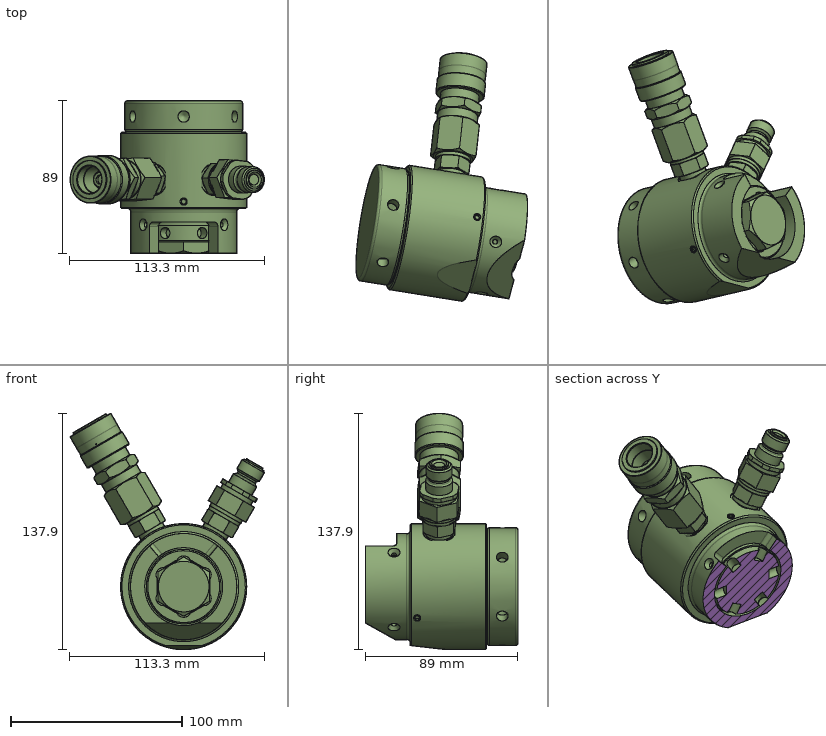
import cadquery as cq
import math

FRONT_Y = -43.0
BACK_Y = 46.0

CUT_MARGIN = 1.4

HEX_SIDES = 6
HEX_CHAMFER_ANGLE = 30.0

BODY_RADIUS = 36.8
BODY_FRONT_Y = -17.0
BODY_BACK_Y = 27.7
BODY_CHAMFER = 0.8
FLAT_SLOPE = 6.5
FLAT_START_Y = 4.3

CAP_RADIUS = 34.5
CAP_FRONT_Y = 28.1
CAP_BACK_FILLET = 1.7
CAP_FRONT_CHAMFER = 1.1
GROOVE_RADIUS = 33.6
CAP_HOLE_RADIUS = 3.3
CAP_HOLE_DEPTH = 6.9
CAP_HOLE_Y = 36.8
CAP_HOLE_COUNT = 6
DRILL_POINT_ANGLE = 118.0

NOSE_RADIUS = 31.0
NECK_RADIUS = 32.1
NECK_LENGTH = 2.0
NOSE_BORE_RADIUS = 22.7
NOSE_BORE_FLOOR_Y = -26.9
SLOT_FLOOR_Y = -24.8
SLOT_HALF_ANGLE = 40.0
SLOT_FILLET = 2.5
BEVEL_FRONT_Z = -21.2
BEVEL_BACK_Y = -25.5
NOSE_HOLE_Y = -26.3
NOSE_HOLE_ANGLES = (-140, -50, 50, 140)
NOSE_HOLE_RADIUS = 3.5
NOSE_HOLE_CONE_DEPTH = 2.2
NOSE_PILOT_RADIUS = 1.4
NOSE_PILOT_DEPTH = 4.1

RING_RADIUS = 21.8
RING_FRONT_Y = -36.4
RING_CHAMFER = 0.8
RING_HOLE_RADIUS = 3.2
RING_HOLE_DEPTH = 6.9
RING_HOLE_Y = -31.1
RING_HOLE_COUNT = 6
POCKET_FLATS = 30.9
POCKET_RADIUS = 17.9
POCKET_DEPTH = 1.4
LOBE_RADIUS = 4.3
LOBE_CENTRE_RADIUS = 13.6
NUT_FLATS = 29.9
NUT_FACE_RADIUS = 14.7

SCREW_Y = -12.8
SCREW_RADIUS = 2.0
SCREW_RECESS = 0.4
SCREW_SOCKET_FLATS = 2.6
SCREW_SOCKET_DEPTH = 1.7
SCREW_COUNT = 3

COUPLER_TILT = -30.0
NIPPLE_TILT = 30.0
SPOT_FACE_RADIUS = 9.4
SPOT_FACE_HEIGHT = 35.8
FITTING_ROOT = 27.5
STEM_RADIUS = 8.0
COLLAR_RADIUS = 10.2
STUD_HEX_FLATS = 18.0
STUD_HEX_FACE_RADIUS = 9.6
STUD_HEX_BOTTOM = 38.6
STUD_HEX_TOP = 46.5

COUPLER_STUD_TURN = -19.0
COUPLER_HEX_TURN = -25.0
COUPLER_HEX_FLATS = 24.0
COUPLER_HEX_FACE_RADIUS = 11.6
COUPLER_HEX_BOTTOM = 48.4
COUPLER_HEX_TOP = 70.3
LOWER_NECK_RADIUS = 11.9
COUPLER_NUT_BOTTOM = 75.4
COUPLER_NUT_TOP = 82.3
UPPER_NECK_RADIUS = 11.3
GRIP_BOTTOM = 87.6
GRIP_TOP = 96.5
GRIP_RADIUS = 14.2
GRIP_CHAMFER = 0.5
SLEEVE_FOOT_RADIUS = 13.6
SLEEVE_TAPER_TOP = 101.2
SLEEVE_RADIUS = 13.8
SLEEVE_CHAMFER = 0.3
SLEEVE_TOP = 108.9
COUPLER_TOP = 110.0
LIP_RADIUS = 11.2
MOUTH_RADIUS = 8.5
MOUTH_CHAMFER = 0.4
BORE_RADIUS = 8.1
BORE_DEPTH = 7.3
INNER_BORE_RADIUS = 7.9
INNER_BORE_DEPTH = 20.7
VALVE_RADIUS = 4.8
VALVE_FACE_RADIUS = 4.3
VALVE_FACE_DEPTH = 12.4
VALVE_HOLE_RADIUS = 2.6
VALVE_HOLE_DEPTH = 2.0

NIPPLE_TURN = -36.0
NIPPLE_HEX_FLATS = 22.0
NIPPLE_HEX_BOTTOM = 50.6
NIPPLE_HEX_TOP = 60.6
FLANGE_RADIUS = 11.7
FLANGE_FLATS = 22.2
FLANGE_BOTTOM = 63.4
FLANGE_TOP = 65.9
WASHER_BOTTOM = 48.5
WASHER_RADIUS = 10.5
PLUG_RADIUS = 7.9
PLUG_TOP = 71.5
SHOULDER_RADIUS = 6.8
SHOULDER_TOP = 72.4
LATCH_GROOVE_RADIUS = 6.2
LATCH_GROOVE_BOTTOM = 73.0
LATCH_GROOVE_TOP = 74.1
HEAD_RADIUS = 7.6
HEAD_BOTTOM = 75.2
HEAD_TOP = 82.0
HEAD_CHAMFER = 1.0
TIP_RADIUS = 5.5
NIPPLE_TOP = 83.0
NIPPLE_HOLE_RADIUS = 3.2
NIPPLE_HOLE_DEPTH = 1.1
NIPPLE_MOUTH_RADIUS = 4.4


def turned_on_y(points):
    """Solid of revolution about Y from (radius, y) points."""
    return cq.Workplane("XY").polyline(points).close().revolve(360, (0, 0, 0), (0, 1, 0))


def turned_on_z(points):
    """Solid of revolution about Z from (radius, z) points, closed along the axis."""
    outline = [(0, points[0][1])] + points + [(0, points[-1][1])]
    return cq.Workplane("XZ").polyline(outline).close().revolve(360, (0, 0, 0), (0, 1, 0))


def cylinder(radius, bottom, top):
    return cq.Workplane("XY").workplane(offset=bottom).circle(radius).extrude(top - bottom)


def hex_prism(flats, bottom, top, turn=0.0):
    """Hexagon along Z whose corner nearest -Y is turned from -Y by the given angle."""
    corner = flats / math.sqrt(3)
    angles = [math.radians(turn - 90 + 360 / HEX_SIDES * i) for i in range(HEX_SIDES)]
    corners = [(corner * math.cos(angle), corner * math.sin(angle)) for angle in angles]
    return cq.Workplane("XY").workplane(offset=bottom).polyline(corners).close().extrude(top - bottom)


def chamfered_hex(flats, face_radius, bottom, top, turn=0.0, both_ends=True):
    """Hexagon with corners turned off conically at the top, or at both ends."""
    corner = flats / math.sqrt(3)
    drop = (corner - face_radius) * math.tan(math.radians(HEX_CHAMFER_ANGLE))
    envelope = [(corner, top - drop), (face_radius, top)]
    if both_ends:
        envelope = [(face_radius, bottom), (corner, bottom + drop)] + envelope
    else:
        envelope = [(corner, bottom)] + envelope
    return hex_prism(flats, bottom, top, turn).intersect(turned_on_z(envelope))


def stand_radially(shape, angle, y=0.0):
    """Swing a shape built along +Z round the body axis and move it along Y."""
    return shape.rotate((0, 0, 0), (0, 1, 0), angle).translate((0, y, 0))


def face_forward(shape):
    """Turn a shape built along +Z so that it points along -Y."""
    return shape.rotate((0, 0, 0), (1, 0, 0), 90)


def evenly_spaced(count, first=0.0):
    return [first + 360.0 / count * i for i in range(count)]


def make_body():
    body = turned_on_y([
        (0, BODY_FRONT_Y),
        (BODY_RADIUS - BODY_CHAMFER, BODY_FRONT_Y),
        (BODY_RADIUS, BODY_FRONT_Y + BODY_CHAMFER),
        (BODY_RADIUS, BODY_BACK_Y - BODY_CHAMFER),
        (BODY_RADIUS - BODY_CHAMFER, BODY_BACK_Y),
        (0, BODY_BACK_Y),
    ])
    length = FLAT_START_Y - BODY_FRONT_Y
    rise = length * math.tan(math.radians(FLAT_SLOPE))
    flat = (
        cq.Workplane("YZ")
        .polyline([
            (FLAT_START_Y, -BODY_RADIUS),
            (BODY_FRONT_Y, -BODY_RADIUS + rise),
            (BODY_FRONT_Y, -BODY_RADIUS),
        ])
        .close()
        .extrude(BODY_RADIUS, both=True)
    )
    body = body.cut(flat)
    for tilt in (COUPLER_TILT, NIPPLE_TILT):
        spot_face = cylinder(SPOT_FACE_RADIUS, SPOT_FACE_HEIGHT, BODY_RADIUS + CUT_MARGIN)
        body = body.cut(stand_radially(spot_face, tilt))
    return body


def cut_set_screws(body):
    recess = cylinder(SCREW_RADIUS, BODY_RADIUS - SCREW_RECESS, BODY_RADIUS + CUT_MARGIN)
    socket = hex_prism(SCREW_SOCKET_FLATS, BODY_RADIUS - SCREW_SOCKET_DEPTH, BODY_RADIUS)
    tool = recess.union(socket)
    for angle in evenly_spaced(SCREW_COUNT):
        body = body.cut(stand_radially(tool, angle, SCREW_Y))
    return body


def make_cap():
    cap = turned_on_y([
        (0, CAP_FRONT_Y),
        (CAP_RADIUS - CAP_FRONT_CHAMFER / 2, CAP_FRONT_Y),
        (CAP_RADIUS, CAP_FRONT_Y + CAP_FRONT_CHAMFER),
        (CAP_RADIUS, BACK_Y),
        (0, BACK_Y),
    ])
    cap = cap.faces(">Y").edges().fillet(CAP_BACK_FILLET)
    hole_bottom = CAP_RADIUS - CAP_HOLE_DEPTH
    point_length = CAP_HOLE_RADIUS / math.tan(math.radians(DRILL_POINT_ANGLE / 2))
    point = cq.Solid.makeCone(0, CAP_HOLE_RADIUS, point_length, cq.Vector(0, 0, hole_bottom - point_length))
    hole = cylinder(CAP_HOLE_RADIUS, hole_bottom, CAP_RADIUS + CUT_MARGIN).union(cq.Workplane(point))
    for angle in evenly_spaced(CAP_HOLE_COUNT):
        cap = cap.cut(stand_radially(hole, angle, CAP_HOLE_Y))
    groove_core = turned_on_y([
        (0, BODY_BACK_Y),
        (GROOVE_RADIUS, BODY_BACK_Y),
        (GROOVE_RADIUS, CAP_FRONT_Y),
        (0, CAP_FRONT_Y),
    ])
    return cap.union(groove_core)


def make_slot_cutter():
    """Sector open at the top and front, with rounded corners along its floor."""
    slope = math.tan(math.radians(SLOT_HALF_ANGLE))
    inner = NOSE_BORE_RADIUS / 2
    outer = NOSE_RADIUS + CUT_MARGIN
    sector = (
        cq.Workplane("XZ", origin=(0, SLOT_FLOOR_Y, 0))
        .polyline([
            (-inner * slope, inner),
            (-outer * slope, outer),
            (outer * slope, outer),
            (inner * slope, inner),
        ])
        .close()
        .extrude(SLOT_FLOOR_Y - FRONT_Y)
    )
    return sector.faces(">Y").edges("not |X").fillet(SLOT_FILLET)


def make_nose():
    neck_end_y = BODY_FRONT_Y - NECK_LENGTH
    neck_depth = NECK_RADIUS - NOSE_RADIUS
    nose = (
        cq.Workplane("XY")
        .moveTo(0, FRONT_Y)
        .lineTo(NOSE_RADIUS, FRONT_Y)
        .lineTo(NOSE_RADIUS, neck_end_y)
        .threePointArc(
            (NOSE_RADIUS + neck_depth * (1 - math.sqrt(0.5)), neck_end_y + NECK_LENGTH * math.sqrt(0.5)),
            (NECK_RADIUS, BODY_FRONT_Y),
        )
        .lineTo(0, BODY_FRONT_Y)
        .close()
        .revolve(360, (0, 0, 0), (0, 1, 0))
    )
    bore = face_forward(cylinder(NOSE_BORE_RADIUS, -NOSE_BORE_FLOOR_Y, -FRONT_Y))
    bevel = (
        cq.Workplane("YZ")
        .polyline([
            (FRONT_Y, BEVEL_FRONT_Z),
            (BEVEL_BACK_Y, -NOSE_RADIUS),
            (FRONT_Y, -NOSE_RADIUS),
        ])
        .close()
        .extrude(NOSE_RADIUS, both=True)
    )
    nose = nose.cut(bore).cut(bevel).cut(make_slot_cutter())

    hole = turned_on_z([
        (NOSE_PILOT_RADIUS, NOSE_RADIUS - NOSE_PILOT_DEPTH),
        (NOSE_PILOT_RADIUS, NOSE_RADIUS - NOSE_HOLE_CONE_DEPTH),
        (NOSE_HOLE_RADIUS, NOSE_RADIUS),
        (NOSE_HOLE_RADIUS, NOSE_RADIUS + CUT_MARGIN),
    ])
    for angle in NOSE_HOLE_ANGLES:
        nose = nose.cut(stand_radially(hole, angle, NOSE_HOLE_Y))
    return nose


def make_ring_and_nut():
    ring = turned_on_y([
        (0, SLOT_FLOOR_Y),
        (NOSE_BORE_RADIUS, SLOT_FLOOR_Y),
        (NOSE_BORE_RADIUS, NOSE_BORE_FLOOR_Y),
        (RING_RADIUS, NOSE_BORE_FLOOR_Y),
        (RING_RADIUS, RING_FRONT_Y + RING_CHAMFER),
        (RING_RADIUS - RING_CHAMFER, RING_FRONT_Y),
        (0, RING_FRONT_Y),
    ])
    hole = cylinder(RING_HOLE_RADIUS, RING_RADIUS - RING_HOLE_DEPTH, RING_RADIUS + CUT_MARGIN)
    for angle in evenly_spaced(RING_HOLE_COUNT, 180.0 / RING_HOLE_COUNT):
        ring = ring.cut(stand_radially(hole, angle, RING_HOLE_Y))

    pocket_floor = -RING_FRONT_Y - POCKET_DEPTH
    pocket = hex_prism(POCKET_FLATS, pocket_floor, -RING_FRONT_Y)
    pocket = pocket.intersect(cylinder(POCKET_RADIUS, pocket_floor, -RING_FRONT_Y))
    lobes = (
        cq.Workplane("XY", origin=(0, 0, pocket_floor))
        .polarArray(LOBE_CENTRE_RADIUS, 90, 360, HEX_SIDES)
        .circle(LOBE_RADIUS)
        .extrude(POCKET_DEPTH)
    )
    pocket = pocket.union(lobes)
    nut = chamfered_hex(NUT_FLATS, NUT_FACE_RADIUS, pocket_floor, -FRONT_Y, both_ends=False)
    return ring.cut(face_forward(pocket)).union(face_forward(nut))


def make_stud(turn):
    """Stem set into the body with its small hexagon, alike on both fittings."""
    stem = cylinder(STEM_RADIUS, FITTING_ROOT, STUD_HEX_BOTTOM)
    stud_hex = chamfered_hex(STUD_HEX_FLATS, STUD_HEX_FACE_RADIUS, STUD_HEX_BOTTOM, STUD_HEX_TOP, turn)
    return stem.union(stud_hex)


def make_coupler():
    sleeve = turned_on_z([
        (COLLAR_RADIUS, STUD_HEX_TOP),
        (COLLAR_RADIUS, COUPLER_HEX_BOTTOM),
        (COUPLER_HEX_FACE_RADIUS, COUPLER_HEX_BOTTOM),
        (COUPLER_HEX_FACE_RADIUS, COUPLER_HEX_TOP),
        (LOWER_NECK_RADIUS, COUPLER_HEX_TOP),
        (LOWER_NECK_RADIUS, COUPLER_NUT_BOTTOM),
        (UPPER_NECK_RADIUS, COUPLER_NUT_BOTTOM),
        (UPPER_NECK_RADIUS, GRIP_BOTTOM),
        (GRIP_RADIUS - GRIP_CHAMFER, GRIP_BOTTOM),
        (GRIP_RADIUS, GRIP_BOTTOM + GRIP_CHAMFER),
        (GRIP_RADIUS, GRIP_TOP - GRIP_CHAMFER),
        (SLEEVE_FOOT_RADIUS, GRIP_TOP),
        (SLEEVE_RADIUS, SLEEVE_TAPER_TOP),
        (SLEEVE_RADIUS, SLEEVE_TOP - SLEEVE_CHAMFER),
        (SLEEVE_RADIUS - SLEEVE_CHAMFER, SLEEVE_TOP),
        (LIP_RADIUS, SLEEVE_TOP),
        (LIP_RADIUS, COUPLER_TOP),
    ])
    bore_bottom = COUPLER_TOP - INNER_BORE_DEPTH
    bore = turned_on_z([
        (INNER_BORE_RADIUS, bore_bottom),
        (INNER_BORE_RADIUS, COUPLER_TOP - BORE_DEPTH),
        (BORE_RADIUS, COUPLER_TOP - BORE_DEPTH),
        (BORE_RADIUS, COUPLER_TOP - MOUTH_CHAMFER),
        (MOUTH_RADIUS, COUPLER_TOP),
    ])
    valve_face = COUPLER_TOP - VALVE_FACE_DEPTH
    valve = turned_on_z([
        (VALVE_RADIUS, bore_bottom),
        (VALVE_RADIUS, valve_face - (VALVE_RADIUS - VALVE_FACE_RADIUS)),
        (VALVE_FACE_RADIUS, valve_face),
    ])
    valve = valve.cut(cylinder(VALVE_HOLE_RADIUS, valve_face - VALVE_HOLE_DEPTH, valve_face))
    coupler = make_stud(COUPLER_STUD_TURN).union(sleeve)
    hex_spans = ((COUPLER_HEX_BOTTOM, COUPLER_HEX_TOP), (COUPLER_NUT_BOTTOM, COUPLER_NUT_TOP))
    for bottom, top in hex_spans:
        coupler = coupler.union(
            chamfered_hex(COUPLER_HEX_FLATS, COUPLER_HEX_FACE_RADIUS, bottom, top, COUPLER_HEX_TURN)
        )
    return coupler.cut(bore).union(valve)


def make_nipple():
    plug = turned_on_z([
        (COLLAR_RADIUS, STUD_HEX_TOP),
        (COLLAR_RADIUS, WASHER_BOTTOM),
        (WASHER_RADIUS, WASHER_BOTTOM),
        (WASHER_RADIUS, NIPPLE_HEX_BOTTOM),
        (COLLAR_RADIUS, NIPPLE_HEX_BOTTOM),
        (COLLAR_RADIUS, FLANGE_TOP),
        (PLUG_RADIUS, FLANGE_TOP),
        (PLUG_RADIUS, PLUG_TOP),
        (SHOULDER_RADIUS, SHOULDER_TOP),
        (LATCH_GROOVE_RADIUS, LATCH_GROOVE_BOTTOM),
        (LATCH_GROOVE_RADIUS, LATCH_GROOVE_TOP),
        (HEAD_RADIUS, HEAD_BOTTOM),
        (HEAD_RADIUS, HEAD_TOP - HEAD_CHAMFER),
        (HEAD_RADIUS - HEAD_CHAMFER, HEAD_TOP),
        (TIP_RADIUS, HEAD_TOP),
        (TIP_RADIUS, NIPPLE_TOP),
    ])
    hexagon = hex_prism(NIPPLE_HEX_FLATS, NIPPLE_HEX_BOTTOM, NIPPLE_HEX_TOP, NIPPLE_TURN)
    flange = cylinder(FLANGE_RADIUS, FLANGE_BOTTOM, FLANGE_TOP)
    flange = flange.intersect(hex_prism(FLANGE_FLATS, FLANGE_BOTTOM, FLANGE_TOP, NIPPLE_TURN))
    mouth = turned_on_z([
        (NIPPLE_HOLE_RADIUS, NIPPLE_TOP - NIPPLE_HOLE_DEPTH),
        (NIPPLE_MOUTH_RADIUS, NIPPLE_TOP),
    ])
    return make_stud(NIPPLE_TURN).union(plug).union(hexagon).union(flange).cut(mouth)


result = (
    cut_set_screws(make_body())
    .union(make_cap())
    .union(make_nose())
    .union(make_ring_and_nut())
    .union(stand_radially(make_coupler(), COUPLER_TILT))
    .union(stand_radially(make_nipple(), NIPPLE_TILT))
)